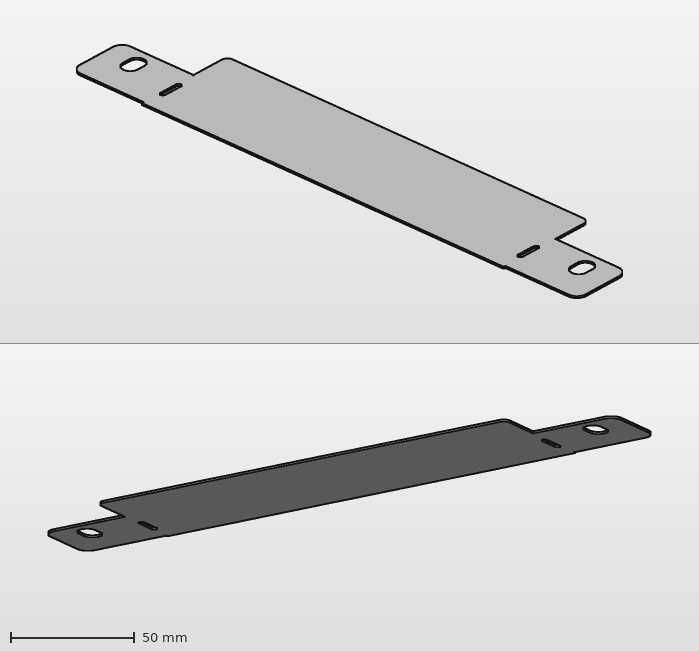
import cadquery as cq

length = 277.0
depth = 51.0
thickness = 1.0

panel_width = 198.0
panel_corner_radius = 3.0
ear_depth = 30.0
ear_front_setback = 1.0
ear_corner_radius = 5.0

mount_hole_width = 8.0
mount_hole_length = 12.0
mount_hole_spacing = 245.5
mount_hole_from_ear_back = 10.0

slot_width = 2.5
slot_length = 12.0

panel_front_y = -depth / 2
ear_center_y = panel_front_y + ear_front_setback + ear_depth / 2
mount_hole_y = ear_center_y + ear_depth / 2 - mount_hole_from_ear_back
slot_spacing = panel_width - slot_width


def make_panel():
    """Central panel with rounded back corners and square front corners."""
    panel = cq.Workplane("XY").box(panel_width, depth, thickness)
    return panel.edges("|Z and >Y").fillet(panel_corner_radius)


def make_ear_strip():
    """Full-length strip whose rounded ends form the two ears."""
    strip = cq.Workplane("XY").box(length, ear_depth, thickness)
    return strip.edges("|Z").fillet(ear_corner_radius).translate((0, ear_center_y, 0))


def make_slot_pair(spacing, y, slot_size, width):
    """Cutters for two round-ended slots along Y, mirrored about the plate centre."""
    return (
        cq.Workplane("XY")
        .pushPoints([(-spacing / 2, y), (spacing / 2, y)])
        .slot2D(slot_size, width, 90)
        .extrude(thickness, both=True)
    )


plate = make_panel().union(make_ear_strip())
mount_holes = make_slot_pair(mount_hole_spacing, mount_hole_y, mount_hole_length, mount_hole_width)
narrow_slots = make_slot_pair(slot_spacing, ear_center_y, slot_length, slot_width)

result = plate.cut(mount_holes).cut(narrow_slots)